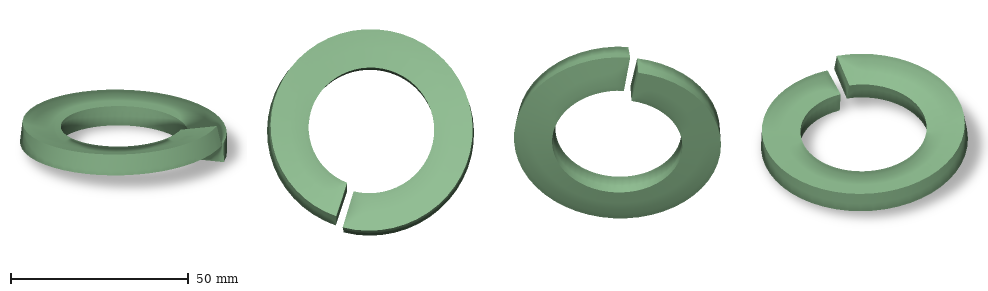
import cadquery as cq

inner_diameter = 36.5
outer_diameter = 58.2
thickness = 6.0
pitch = 6.0

slot_width = 2.0
slot_lean = 3.0
slot_offset = -0.57

outer_radius = outer_diameter / 2
inner_radius = inner_diameter / 2
radial_width = outer_radius - inner_radius
coil_height = pitch + thickness
slot_height = 2 * coil_height
slot_length = 2 * radial_width


def coil_section():
    """Rectangular wire section in the XZ plane, standing on the ground plane."""
    return (
        cq.Workplane("XZ")
        .moveTo(inner_radius, 0)
        .lineTo(outer_radius, 0)
        .lineTo(outer_radius, thickness)
        .lineTo(inner_radius, thickness)
        .close()
    )


def make_coil():
    """One full turn of the wire, guided by its lower outer edge.

    The section turns gently about the helix, so the upper end leans inwards.
    """
    helix = cq.Wire.makeHelix(pitch, pitch, outer_radius)
    return coil_section().sweep(cq.Workplane("XY").add(helix))


def make_slot():
    """Leaning cutter that leaves a parallel gap between the ends."""
    middle_radius = (inner_radius + outer_radius) / 2
    return (
        cq.Workplane("XY")
        .box(slot_length, slot_width, slot_height)
        .rotate((0, 0, 0), (1, 0, 0), slot_lean)
        .translate((middle_radius, slot_offset, coil_height / 2))
    )


result = make_coil().cut(make_slot())